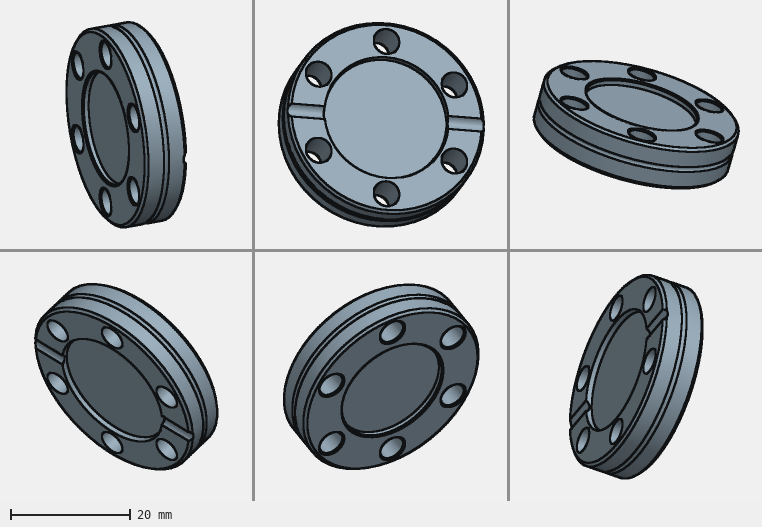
import cadquery as cq

flange_diameter = 33.8
flange_thickness = 7.6
edge_chamfer = 0.5
front_face_y = -flange_thickness / 2
back_face_y = flange_thickness / 2

front_bore_diameter = 19.2
bore_chamfer = 0.25
shoulder_depth = 1.1
recess_diameter = 21.4

bolt_count = 6
bolt_circle_diameter = 27.0
bolt_hole_diameter = 4.4
bolt_hole_chamfer = 0.25

rim_groove_width = 0.9
rim_groove_depth = 0.27

leak_groove_width = 2.3
leak_groove_depth = 0.68

disc_diameter = 21.1
disc_back_depth = 1.0
disc_thickness = flange_thickness - shoulder_depth - disc_back_depth


def arc_radius(chord, height):
    """Radius of the arc with the given chord and height."""
    return (chord ** 2 / 4 + height ** 2) / (2 * height)


def y_cylinder(diameter, start_y, length):
    """Cylinder on the flange axis, growing toward +Y."""
    plane = cq.Plane(origin=(0, start_y, 0), xDir=(1, 0, 0), normal=(0, 1, 0))
    return cq.Workplane(plane).circle(diameter / 2).extrude(length)


def flange_blank():
    blank = y_cylinder(flange_diameter, front_face_y, flange_thickness)
    return blank.faces("|Y").edges().chamfer(edge_chamfer)


def stepped_opening():
    bore = y_cylinder(front_bore_diameter, front_face_y, flange_thickness)
    recess_depth = flange_thickness - shoulder_depth
    recess = y_cylinder(recess_diameter, front_face_y + shoulder_depth, recess_depth)
    return bore.union(recess)


def bolt_hole():
    """Through hole at the top of the bolt circle, with a conical mouth in the front face."""
    hole = y_cylinder(bolt_hole_diameter, front_face_y, flange_thickness)
    mouth = cq.Solid.makeCone(
        bolt_hole_diameter / 2 + bolt_hole_chamfer,
        bolt_hole_diameter / 2,
        bolt_hole_chamfer,
        pnt=cq.Vector(0, front_face_y, 0),
        dir=cq.Vector(0, 1, 0),
    )
    return hole.union(cq.Workplane(mouth)).translate((0, 0, bolt_circle_diameter / 2))


def rim_groove():
    radius = arc_radius(rim_groove_width, rim_groove_depth)
    centre_x = flange_diameter / 2 - rim_groove_depth + radius
    profile = cq.Workplane("XY").center(centre_x, 0).circle(radius)
    return profile.revolve(360, (-centre_x, 0), (-centre_x, 1))


def leak_groove():
    """Straight groove along X, crossing the sealing face at mid height."""
    radius = arc_radius(leak_groove_width, leak_groove_depth)
    centre_y = back_face_y - leak_groove_depth + radius
    profile = cq.Workplane("YZ").center(centre_y, 0).circle(radius)
    return profile.extrude(flange_diameter / 2, both=True)


def flange_ring():
    ring = flange_blank().cut(stepped_opening())
    bore_edge = ring.faces("<Y").edges(cq.selectors.RadiusNthSelector(0))
    ring = bore_edge.chamfer(bore_chamfer)
    hole = bolt_hole()
    for index in range(bolt_count):
        ring = ring.cut(hole.rotate((0, 0, 0), (0, 1, 0), index * 360 / bolt_count))
    return ring.cut(rim_groove()).cut(leak_groove()).solids()


def blank_disc():
    return y_cylinder(disc_diameter, front_face_y + shoulder_depth, disc_thickness)


ring = flange_ring()
disc = blank_disc()

result = cq.Compound.makeCompound([ring.val(), disc.val()])